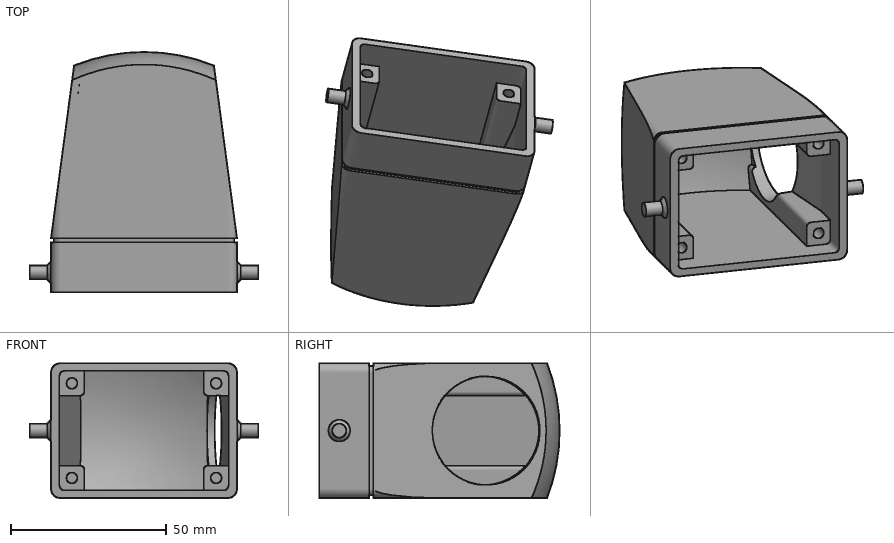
import cadquery as cq
import math

HOOD_WIDTH = 60.0
HOOD_HEIGHT = 43.5
HOOD_LENGTH = 77.55
CORNER_RADIUS = 3.0
DOME_RADIUS = 60.0
SIDE_TAPER = 7.6

SIDE_WALL = 2.75
TOP_WALL = 2.5
DOME_WALL = 3.0
CAVITY_WIDTH = HOOD_WIDTH - 2 * SIDE_WALL
CAVITY_HEIGHT = HOOD_HEIGHT - 2 * TOP_WALL
CAVITY_CORNER_RADIUS = 1.6
CAVITY_TAPER_START = 19.0

GROOVE_START = 16.1
GROOVE_WIDTH = 1.35
GROOVE_DEPTH = 0.85
TAPER_START = GROOVE_START + GROOVE_WIDTH

POST_SIZE = 8.0
POST_START = 9.0
POST_EDGE_RADIUS = 1.4
SCREW_HOLE_DIAMETER = 3.5
SCREW_HOLE_DEPTH = 10.0
POST_SPACING_X = CAVITY_WIDTH - POST_SIZE
POST_SPACING_Z = CAVITY_HEIGHT - POST_SIZE

CABLE_HOLE_DIAMETER = 35.0
CABLE_HOLE_Y = 53.8

PIN_SPAN = 73.7
PIN_DIAMETER = 4.52
PIN_BASE_DIAMETER = 7.0
PIN_CONE_LENGTH = 1.24
PIN_Y = 6.45


def rounded_bar(width, height, radius, start, length):
    """Bar along +Y with a rounded rectangular section, centred on the Y axis."""
    bar = cq.Workplane("XZ", origin=(0, start, 0)).rect(width, height).extrude(-length)
    return bar.edges("|Y").fillet(radius)


def dome_ended_shape(width, height, radius, taper_start, length, dome_radius):
    """Rounded bar from y = 0 with leaning side walls and a spherical far end."""
    lean = (length - taper_start) * math.tan(math.radians(SIDE_TAPER))
    half_width = width / 2
    outline = (
        cq.Workplane("XY", origin=(0, 0, -height))
        .polyline([
            (-half_width, 0),
            (half_width, 0),
            (half_width, taper_start),
            (half_width - lean, length),
            (lean - half_width, length),
            (-half_width, taper_start),
        ])
        .close()
        .extrude(2 * height)
    )
    dome = (
        cq.Workplane("XY")
        .moveTo(0, length)
        .radiusArc((dome_radius, length - dome_radius), dome_radius)
        .lineTo(dome_radius, 0)
        .lineTo(0, 0)
        .close()
        .revolve(360, (0, 0, 0), (0, 1, 0))
    )
    return rounded_bar(width, height, radius, 0, length).intersect(outline).intersect(dome)


def groove_ring():
    """Material removed all round to form the groove."""
    outer = cq.Workplane("XZ", origin=(0, GROOVE_START, 0)).rect(2 * HOOD_WIDTH, 2 * HOOD_HEIGHT)
    floor = rounded_bar(
        HOOD_WIDTH - 2 * GROOVE_DEPTH,
        HOOD_HEIGHT - 2 * GROOVE_DEPTH,
        CORNER_RADIUS - GROOVE_DEPTH,
        GROOVE_START,
        GROOVE_WIDTH,
    )
    return outer.extrude(-GROOVE_WIDTH).cut(floor)


def screw_post(side_x, side_z):
    """Square post in one cavity corner, with its free long edge rounded."""
    center_x = side_x * POST_SPACING_X / 2
    center_z = side_z * POST_SPACING_Z / 2
    free_x = "<X" if side_x > 0 else ">X"
    free_z = "<Z" if side_z > 0 else ">Z"
    return (
        cq.Workplane("XZ", origin=(center_x, POST_START, center_z))
        .rect(POST_SIZE, POST_SIZE)
        .extrude(POST_START - HOOD_LENGTH)
        .faces(free_x)
        .edges(free_z)
        .fillet(POST_EDGE_RADIUS)
    )


def screw_holes():
    """Blind holes, one in the middle of each post's front face."""
    return (
        cq.Workplane("XZ", origin=(0, POST_START, 0))
        .rect(POST_SPACING_X, POST_SPACING_Z, forConstruction=True)
        .vertices()
        .circle(SCREW_HOLE_DIAMETER / 2)
        .extrude(-SCREW_HOLE_DEPTH)
    )


def cable_hole():
    """Cylinder square to the tapered +X wall, long enough to clear the posts."""
    taper = math.radians(SIDE_TAPER)
    face_x = HOOD_WIDTH / 2 - (CABLE_HOLE_Y - TAPER_START) * math.tan(taper)
    face = cq.Plane(
        origin=(face_x, CABLE_HOLE_Y, 0),
        xDir=(0, 0, 1),
        normal=(math.cos(taper), math.sin(taper), 0),
    )
    reach = SIDE_WALL + POST_SIZE
    return cq.Workplane(face).circle(CABLE_HOLE_DIAMETER / 2).extrude(reach, both=True)


def make_hood():
    cavity = dome_ended_shape(
        CAVITY_WIDTH,
        CAVITY_HEIGHT,
        CAVITY_CORNER_RADIUS,
        CAVITY_TAPER_START,
        HOOD_LENGTH - DOME_WALL,
        DOME_RADIUS - DOME_WALL,
    )
    for side_x in (-1, 1):
        for side_z in (-1, 1):
            cavity = cavity.cut(screw_post(side_x, side_z))
    hood = dome_ended_shape(
        HOOD_WIDTH, HOOD_HEIGHT, CORNER_RADIUS, TAPER_START, HOOD_LENGTH, DOME_RADIUS
    )
    return hood.cut(groove_ring()).cut(cavity).cut(screw_holes()).cut(cable_hole())


def make_pin(side):
    """Pin standing on one side wall, with a conical foot against the wall."""
    wall_x = side * HOOD_WIDTH / 2
    shoulder_x = wall_x + side * PIN_CONE_LENGTH
    tip_x = side * PIN_SPAN / 2
    return (
        cq.Workplane("XY", origin=(0, PIN_Y, 0))
        .polyline([
            (wall_x, 0),
            (wall_x, PIN_BASE_DIAMETER / 2),
            (shoulder_x, PIN_DIAMETER / 2),
            (tip_x, PIN_DIAMETER / 2),
            (tip_x, 0),
        ])
        .close()
        .revolve(360, (0, 0, 0), (1, 0, 0))
    )


hood = make_hood()
pins = [make_pin(side) for side in (-1, 1)]

result = cq.Compound.makeCompound([hood.val(), *[pin.val() for pin in pins]])